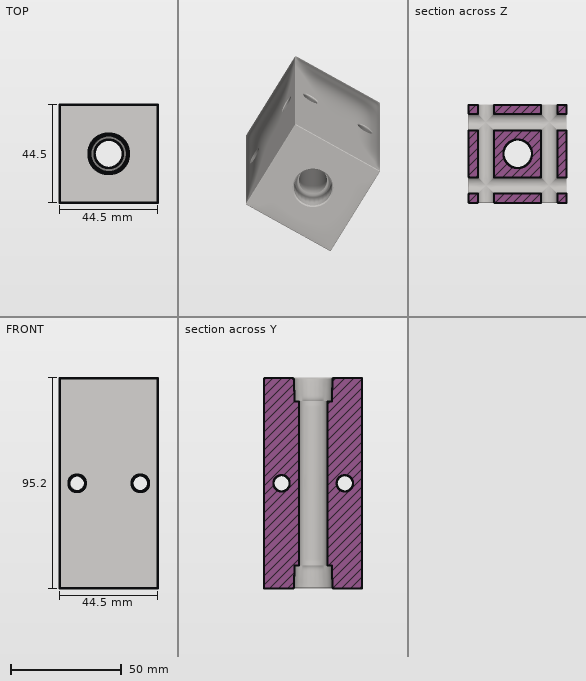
import cadquery as cq

height = 95.25
width = 44.5
edge_chamfer = 0.3

bore_diameter = 12.7
port_diameter = 17.2
port_mouth_diameter = 18.4
port_depth = 10.5
port_taper = 1 / 16

cross_diameter = 7.1
cross_mouth_diameter = 7.9
cross_spacing = 28.6


def countersunk_hole(diameter, mouth_diameter, depth, taper=0.0):
    """Cutter running down from the origin, with a 45 degree countersink at its mouth.

    The taper is the loss of diameter per unit of depth below the countersink.
    """
    mouth_radius = mouth_diameter / 2
    radius = diameter / 2
    sink = mouth_radius - radius
    floor_radius = radius - taper * (depth - sink) / 2
    profile = [(0, 0), (mouth_radius, 0), (radius, -sink), (floor_radius, -depth), (0, -depth)]
    return cq.Workplane("XZ").polyline(profile).close().revolve(360, (0, 0, 0), (0, 1, 0))


def port():
    """Tapered port at the top end of the bore."""
    cutter = countersunk_hole(port_diameter, port_mouth_diameter, port_depth, port_taper)
    return cutter.translate((0, 0, height / 2))


def cross_pair():
    """Two through holes along Y, countersunk on both faces."""
    half_hole = countersunk_hole(cross_diameter, cross_mouth_diameter, width / 2)
    front_half = half_hole.rotate((0, 0, 0), (1, 0, 0), 90).translate((0, -width / 2, 0))
    hole = front_half.union(front_half.mirror("XZ"))
    offset = cross_spacing / 2
    return hole.translate((-offset, 0, 0)).union(hole.translate((offset, 0, 0)))


block = cq.Workplane("XY").box(width, width, height).edges().chamfer(edge_chamfer)
bore = cq.Workplane("XY").circle(bore_diameter / 2).extrude(height / 2, both=True)

result = block.cut(bore)
result = result.cut(port()).cut(port().mirror("XY"))
result = result.cut(cross_pair())
result = result.cut(cross_pair().rotate((0, 0, 0), (0, 0, 1), 90))